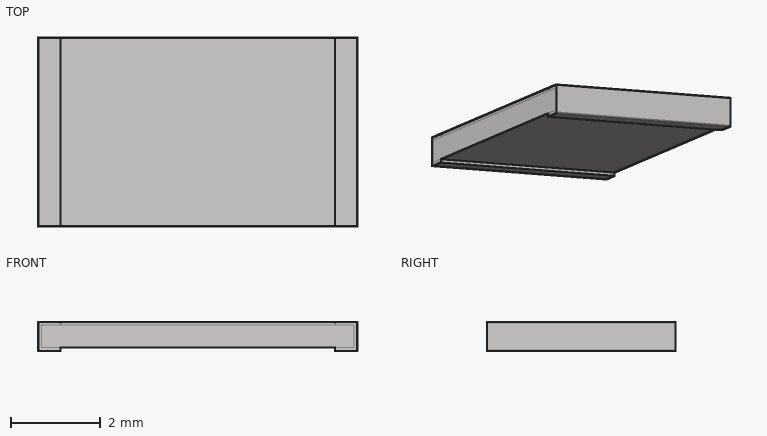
import cadquery as cq

length = 7.1
width = 4.2
height = 0.65

layer_thickness = 0.075
terminal_reach = 0.5

end_edge_radius = 0.025
seam_edge_radius = end_edge_radius / 2

core_length = length - 2 * layer_thickness
core_height = height - 2 * layer_thickness
coating_length = length - 2 * terminal_reach


def block(size_x, size_z, base_z):
    """Full-width block centred on X and Y, standing on base_z."""
    return (
        cq.Workplane("XY")
        .workplane(offset=base_z)
        .box(size_x, width, size_z, centered=(True, True, False))
    )


def make_left_terminal():
    """C-shaped metal cap that wraps the -X end of the core."""
    outer_x = -length / 2
    inner_x = outer_x + layer_thickness
    tip_x = outer_x + terminal_reach
    core_top = height - layer_thickness
    cap = (
        cq.Workplane("XZ", origin=(0, width / 2, 0))
        .moveTo(outer_x, 0)
        .lineTo(tip_x, 0)
        .lineTo(tip_x, layer_thickness)
        .lineTo(inner_x, layer_thickness)
        .lineTo(inner_x, core_top)
        .lineTo(tip_x, core_top)
        .lineTo(tip_x, height)
        .lineTo(outer_x, height)
        .close()
        .extrude(width)
    )
    rounded_end = cap.edges("|Y and <X").fillet(end_edge_radius)
    return rounded_end.faces(">Z").edges(">X").fillet(seam_edge_radius)


def make_coating():
    """Top coating that fills the space between the terminals, rounded along both seams."""
    sheet = block(coating_length, layer_thickness, height - layer_thickness)
    return sheet.faces(">Z").edges("|Y").fillet(seam_edge_radius)


core = block(core_length, core_height, layer_thickness)
coating = make_coating()
left_terminal = make_left_terminal()
right_terminal = left_terminal.mirror("YZ")

result = core
for layer in (coating, left_terminal, right_terminal):
    result = result.union(layer, clean=False)